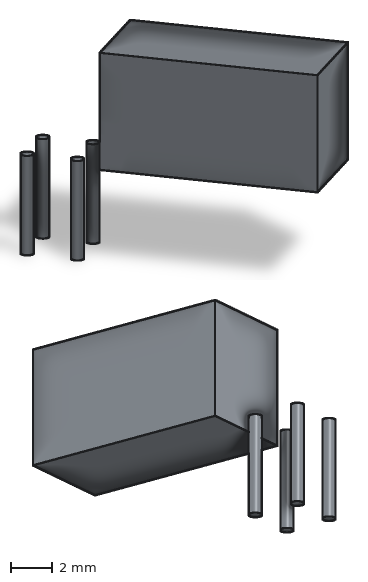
import cadquery as cq

housing_length = 11.0
housing_width = 5.0
housing_height = 6.0

pin_diameter = 0.64
pin_length = 5.1
pin_pitch = 2.54
pins_per_side = 2
pin_to_housing = 1.5

last_pin_x = (pins_per_side - 1) * pin_pitch
housing_start_x = last_pin_x + pin_to_housing
first_pin_y = -(pins_per_side - 1) * pin_pitch / 2


def make_housing():
    """Plain block, centred on Y = 0 and standing on Z = 0."""
    block = cq.Workplane("XY").box(
        housing_length, housing_width, housing_height, centered=(False, True, False)
    )
    return block.translate((housing_start_x, 0, 0))


def make_pin(x, y):
    """Round pin running down from Z = 0."""
    return cq.Workplane("XY").center(x, y).circle(pin_diameter / 2).extrude(-pin_length)


housing = make_housing()

pins = []
for column in range(pins_per_side):
    for row in range(pins_per_side):
        pins.append(make_pin(column * pin_pitch, first_pin_y + row * pin_pitch))

result = cq.Compound.makeCompound([housing.val(), *[pin.val() for pin in pins]])